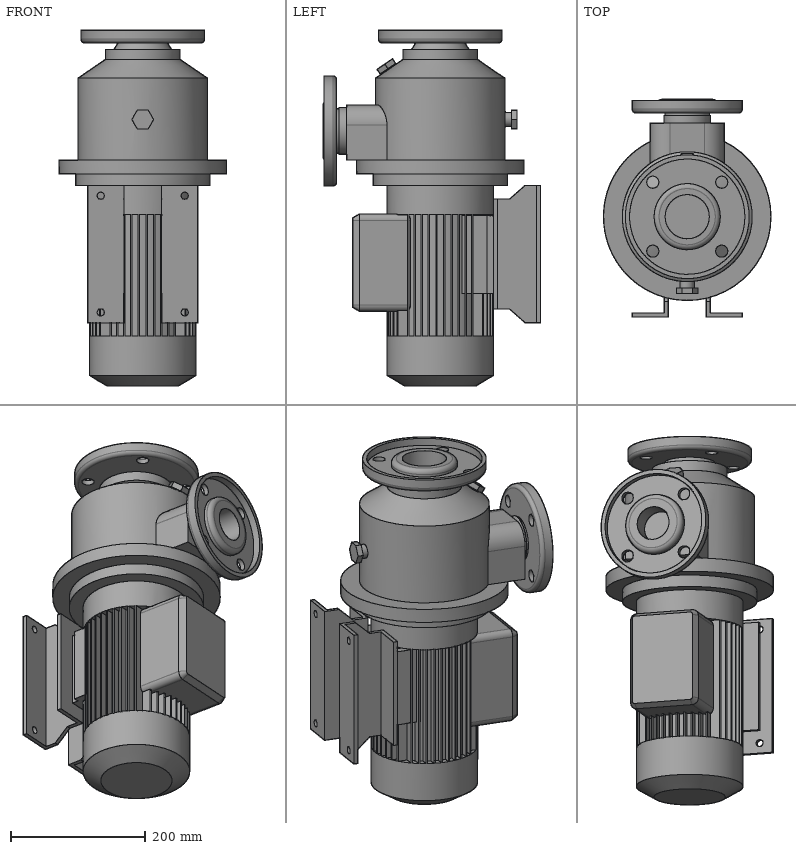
import cadquery as cq
import math


motor_radius = 79.5
cover_end_radius = 53.0
cover_taper_top = 16.0
cover_top = 75.0
fin_top = 256.0
motor_neck_top = 299.0
motor_flange_radius = 100.5
motor_flange_top = 316.5

core_radius = 69.0
fin_thickness = 2.0
fin_pitch = 360 / 44
fins_per_half_group = 5

box_half_width = 53.0
box_bottom = 111.5
box_top = 257.0
box_outer_y = 130.5
box_chamfer_y = 10.0
box_chamfer_side = 6.0
box_fillet = 9.5

foot_face_y = -150.0
foot_seat_y = -79.0
foot_thickness = 6.5
foot_inner_x = 28.0
foot_outer_x = 82.5
foot_mid_z = 197.0
foot_outer_height = 205.0
foot_inner_height = 164.5
foot_slope_start_y = -103.5
foot_slope_end_y = -126.5
foot_hole_radius = 5.5
foot_hole_x = 62.5
foot_hole_inset = 15.5
pad_outer_x = 61.0
pad_step_x = 53.0
pad_step_y = -69.5
pad_bottom = 138.0
pad_top = 254.5

pump_flange_radius = 125.05
pump_flange_top = 337.0
casing_radius = 96.9
casing_top = 459.5
collar_radius = 56.0
cone_top = 487.5
collar_top = 502.5
inlet_neck_base_radius = 43.0
inlet_neck_radius = 37.0
inlet_face_z = 531.0

outlet_z = 380.5
outlet_box_half_width = 55.0
outlet_box_top = 419.5
outlet_box_corner = 30.0
outlet_box_y = 139.5
outlet_neck_radius = 35.0
outlet_neck_end_y = 151.5
outlet_throat_radius = 33.5
outlet_face_y = 175.0

flange_thickness = 19.0
flange_edge_fillet = 6.0
flange_dish_depth = 11.0
flange_lip = 6.5
flange_hole_radius = 9.0
flange_hole_count = 4
hub_fillet = 7.5
inlet_flange_radius = 92.5
inlet_hole_circle_radius = 73.0
inlet_hub_radius = 49.5
inlet_bore_radius = 33.0
inlet_bore_depth = 30.5
outlet_flange_radius = 82.5
outlet_hole_circle_radius = 62.5
outlet_hub_radius = 45.0
outlet_hub_rise = 1.5
outlet_bore_radius = 25.0

plug_flats = 28.0
plug_corners = plug_flats / math.cos(math.pi / 6)
plug_head_height = 8.5
plug_stem_radius = 10.5
drain_plug_z = 397.5
drain_plug_face_y = -114.5
vent_plug_y = 77.5
vent_plug_gap = 1.0
plug_root = 8.0


def disc(radius, bottom, top):
    return cq.Workplane("XY").workplane(offset=bottom).circle(radius).extrude(top - bottom)


def slab(x_range, y_range, z_range):
    """Axis-aligned block between the given limits."""
    (x0, x1), (y0, y1), (z0, z1) = x_range, y_range, z_range
    return cq.Workplane("XY").box(x1 - x0, y1 - y0, z1 - z0, centered=False).translate((x0, y0, z0))


def motor_barrel():
    """Turned motor shape: tapered fan cover, bare core, plain neck and mating flange."""
    profile = [
        (0, 0),
        (cover_end_radius, 0),
        (motor_radius, cover_taper_top),
        (motor_radius, cover_top),
        (core_radius, cover_top),
        (core_radius, fin_top),
        (motor_radius, fin_top),
        (motor_radius, motor_neck_top),
        (motor_flange_radius, motor_neck_top),
        (motor_flange_radius, motor_flange_top),
        (0, motor_flange_top),
    ]
    return cq.Workplane("XZ").polyline(profile).close().revolve(360, (0, 0), (0, 1))


def finned_core():
    """Core with straight fins in four groups that point to +X, -X, +Y and -Y, trimmed to the outer radius."""
    angles = [(i + 0.5) * fin_pitch for i in range(-fins_per_half_group, fins_per_half_group)]
    places = [(0, motor_radius * math.sin(math.radians(angle))) for angle in angles]
    plates = (
        cq.Workplane("XY", origin=(0, 0, cover_top))
        .pushPoints(places)
        .rect(2 * motor_radius, fin_thickness)
        .extrude(fin_top - cover_top)
    )
    crossed_plates = plates.rotate((0, 0, 0), (0, 0, 1), 90)
    core = disc(core_radius, cover_top, fin_top).union(plates).union(crossed_plates)
    return core.intersect(disc(motor_radius, cover_top, fin_top))


def terminal_box():
    box = slab((-box_half_width, box_half_width), (0, box_outer_y), (box_bottom, box_top))
    box = box.edges("|Y").fillet(box_fillet)
    return box.faces(">Y").chamfer(box_chamfer_side, box_chamfer_y)


def foot():
    """Channel-shaped foot and its pad on the +X side."""
    outer_half = foot_outer_height / 2
    inner_half = foot_inner_height / 2
    side = [
        (foot_seat_y, -inner_half),
        (foot_slope_start_y, -inner_half),
        (foot_slope_end_y, -outer_half),
        (foot_face_y, -outer_half),
        (foot_face_y, outer_half),
        (foot_slope_end_y, outer_half),
        (foot_slope_start_y, inner_half),
        (foot_seat_y, inner_half),
    ]
    width = foot_outer_x - foot_inner_x
    blank = cq.Workplane("YZ").polyline(side).close().extrude(width).translate((foot_inner_x, 0, foot_mid_z))
    hollow = slab(
        (foot_inner_x + foot_thickness, foot_outer_x),
        (foot_face_y + foot_thickness, foot_seat_y - foot_thickness),
        (foot_mid_z - outer_half, foot_mid_z + outer_half),
    )
    hole_z = outer_half - foot_hole_inset
    holes = (
        cq.Workplane("XZ", origin=(foot_hole_x, foot_face_y, foot_mid_z))
        .pushPoints([(0, -hole_z), (0, hole_z)])
        .circle(foot_hole_radius)
        .extrude(-foot_thickness)
    )
    pad_root_y = -math.sqrt(core_radius**2 - pad_outer_x**2)
    pad = slab((foot_inner_x, pad_outer_x), (pad_step_y, pad_root_y), (pad_bottom, pad_top))
    pad_neck = slab((foot_inner_x, pad_step_x), (foot_seat_y, pad_step_y), (pad_bottom, pad_top))
    return blank.cut(hollow).cut(holes).union(pad).union(pad_neck)


def pipe_flange(radius, hole_circle_radius, hub_radius, hub_rise):
    """Dished flange facing +Z with its rim in Z = 0 and a rounded hub in the dish."""
    blank = disc(radius, -flange_thickness, 0).faces("<Z").edges().fillet(flange_edge_fillet)
    dish = disc(radius - flange_lip, -flange_dish_depth, 0)
    hub = disc(hub_radius, -flange_dish_depth, hub_rise).faces(">Z").edges().fillet(hub_fillet)
    holes = (
        cq.Workplane("XY")
        .workplane(offset=-flange_thickness)
        .polarArray(hole_circle_radius, 45, 360, flange_hole_count)
        .circle(flange_hole_radius)
        .extrude(flange_thickness)
    )
    return blank.cut(dish).cut(holes).union(hub)


def casing():
    """Turned pump casing from the mating flange up to the inlet neck."""
    profile = [
        (0, motor_flange_top),
        (pump_flange_radius, motor_flange_top),
        (pump_flange_radius, pump_flange_top),
        (casing_radius, pump_flange_top),
        (casing_radius, casing_top),
        (collar_radius, cone_top),
        (collar_radius, collar_top),
        (inlet_neck_base_radius, collar_top),
        (inlet_neck_radius, inlet_face_z - flange_thickness),
        (0, inlet_face_z - flange_thickness),
    ]
    return cq.Workplane("XZ").polyline(profile).close().revolve(360, (0, 0), (0, 1))


def outlet():
    """Round-shouldered outlet box, its neck and its flange, facing +Y."""
    box = slab(
        (-outlet_box_half_width, outlet_box_half_width),
        (0, outlet_box_y),
        (pump_flange_top, outlet_box_top),
    )
    box = box.faces(">Z").edges("|Y").fillet(outlet_box_corner)
    rim_y = outlet_face_y - outlet_hub_rise
    axis = cq.Workplane("XZ", origin=(0, outlet_box_y, outlet_z))
    neck = axis.circle(outlet_neck_radius).extrude(outlet_box_y - outlet_neck_end_y)
    throat = axis.circle(outlet_throat_radius).extrude(outlet_box_y - rim_y + flange_thickness)
    flange = pipe_flange(outlet_flange_radius, outlet_hole_circle_radius, outlet_hub_radius, outlet_hub_rise)
    flange = flange.rotate((0, 0, 0), (1, 0, 0), -90).translate((0, rim_y, outlet_z))
    bore = (
        cq.Workplane("XZ", origin=(0, outlet_face_y, outlet_z))
        .circle(outlet_bore_radius)
        .extrude(outlet_face_y - outlet_box_y)
    )
    return box.union(neck).union(throat).union(flange).cut(bore)


def screw_plug(stem_length):
    """Hexagonal plug along +Z, with the underside of its head in Z = 0."""
    head = cq.Workplane("XY").polygon(6, plug_corners).extrude(plug_head_height)
    return head.union(disc(plug_stem_radius, -stem_length, 0))


def drain_plug():
    head_y = drain_plug_face_y + plug_head_height
    plug = screw_plug(-head_y - casing_radius + plug_root)
    return plug.rotate((0, 0, 0), (1, 0, 0), 90).translate((0, head_y, drain_plug_z))


def vent_plug():
    """Plug standing square to the cone on the +Y side."""
    cone_run = casing_radius - collar_radius
    cone_rise = cone_top - casing_top
    slope = math.atan2(cone_rise, cone_run)
    seat_z = casing_top + (casing_radius - vent_plug_y) * cone_rise / cone_run
    plug = screw_plug(vent_plug_gap + plug_root).translate((0, 0, vent_plug_gap))
    return plug.rotate((0, 0, 0), (1, 0, 0), -math.degrees(slope)).translate((0, vent_plug_y, seat_z))


def build_motor():
    right_foot = foot()
    motor = motor_barrel().union(finned_core()).union(terminal_box())
    return motor.union(right_foot).union(right_foot.mirror("YZ"))


def build_pump():
    inlet = pipe_flange(inlet_flange_radius, inlet_hole_circle_radius, inlet_hub_radius, 0)
    inlet_bore = disc(inlet_bore_radius, inlet_face_z - inlet_bore_depth, inlet_face_z)
    pump = casing().union(inlet.translate((0, 0, inlet_face_z))).cut(inlet_bore)
    return pump.union(outlet()).union(drain_plug()).union(vent_plug())


motor = build_motor()
pump = build_pump()
result = cq.Compound.makeCompound([motor.val(), pump.val()])